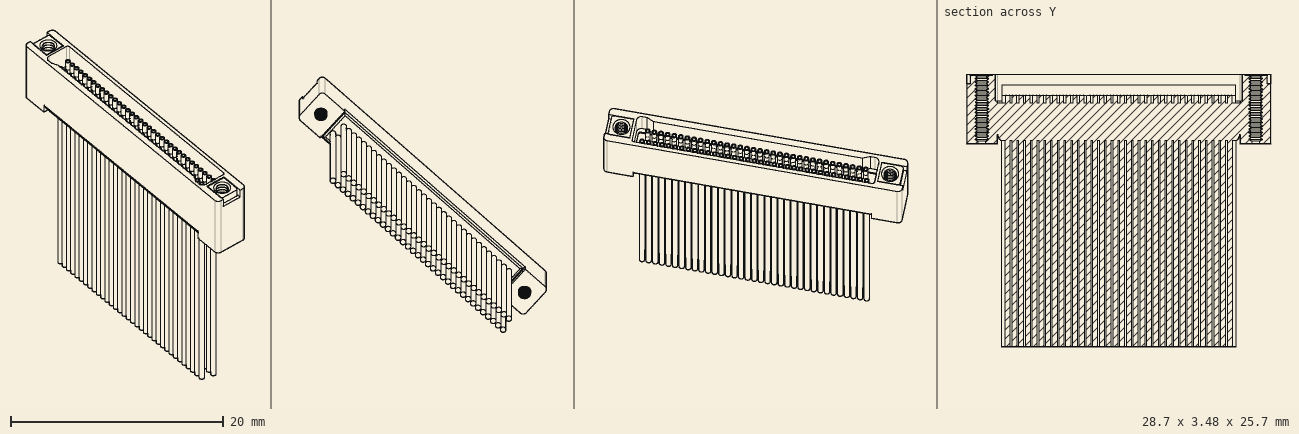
import cadquery as cq
import math


SHELL_LENGTH = 28.68
SHELL_WIDTH = 3.48
SHELL_HEIGHT = 6.57
SHELL_CORNER_RADIUS = 0.4
TOTAL_HEIGHT = 25.7

CUTOUT_LENGTH = 22.9
CUTOUT_TOP = -5.69
POTTING_BREAK = -6.1
POTTING_BOTTOM = -6.26
POTTING_SIDE_TAPER = 22
POTTING_EDGE_TAPER = 50

POCKET_HALF_LENGTH = 11.64
POCKET_BACK = 1.36
POCKET_FRONT = -1.09
POCKET_DEPTH = 2.5
POCKET_CORNER_RADIUS = 0.2
LOBE_FRONT = -1.40
LOBE_CORNER_RADIUS = 0.45
LOBE_FLAT_LENGTH = 0.45
LOBE_RUNOUT_LENGTH = 0.7
ARC_MIDDLE = 1 - math.sqrt(0.5)

FLOOR_RECESS_LENGTH = CUTOUT_LENGTH
FLOOR_RECESS_BACK = 1.17
FLOOR_RECESS_FRONT = -1.01
FLOOR_RECESS_DEPTH = 0.2
FLOOR_RECESS_CORNER_RADIUS = 0.2

CONTACT_PITCH = 0.635
CONTACT_ROWS = ((35, 0.66), (34, -0.50))
CONTACT_DIAMETER = 0.46
CONTACT_BORE_DIAMETER = 0.28
CONTACT_BORE_DEPTH = 1.0
CONTACT_TOP = -1.0
WIRE_DIAMETER = 0.53

NUT_X = 12.91
NUT_WIDTH = 2.03
NUT_INNER_X = 11.92
NUT_OUTER_X = 14.02
NUT_TOP = -0.1
NUT_CORNER_RADIUS = 0.2
NUT_RECESS_DEPTH = 0.88
THREAD_MINOR_DIAMETER = 1.18
THREAD_MAJOR_DIAMETER = 1.6
THREAD_PITCH = 25.4 / 80


def make_box(x_min, x_max, y_min, y_max, z_min, z_max):
    size = (x_max - x_min, y_max - y_min, z_max - z_min)
    return cq.Workplane("XY").box(*size, centered=False).translate((x_min, y_min, z_min))


def make_shell():
    shell = make_box(
        -SHELL_LENGTH / 2, SHELL_LENGTH / 2, -SHELL_WIDTH / 2, SHELL_WIDTH / 2, -SHELL_HEIGHT, 0
    )
    shell = shell.edges("|Z").fillet(SHELL_CORNER_RADIUS)
    cutout = make_box(
        -CUTOUT_LENGTH / 2, CUTOUT_LENGTH / 2, -SHELL_WIDTH / 2, SHELL_WIDTH / 2, -SHELL_HEIGHT, CUTOUT_TOP
    )
    return shell.cut(cutout)


def make_potting():
    side_height = CUTOUT_TOP - POTTING_BREAK
    inset = side_height * math.tan(math.radians(POTTING_SIDE_TAPER))
    sides = (
        cq.Workplane("XY", origin=(0, 0, CUTOUT_TOP))
        .rect(CUTOUT_LENGTH, SHELL_WIDTH)
        .extrude(-side_height, taper=POTTING_SIDE_TAPER)
    )
    bottom_edge = (
        cq.Workplane("XY", origin=(0, 0, POTTING_BREAK))
        .rect(CUTOUT_LENGTH - 2 * inset, SHELL_WIDTH - 2 * inset)
        .extrude(POTTING_BOTTOM - POTTING_BREAK, taper=POTTING_EDGE_TAPER)
    )
    return sides.union(bottom_edge)


def make_pocket():
    back_start = POCKET_HALF_LENGTH - POCKET_CORNER_RADIUS
    back_mid = POCKET_CORNER_RADIUS * ARC_MIDDLE
    lobe_start = POCKET_HALF_LENGTH - LOBE_CORNER_RADIUS
    lobe_mid = LOBE_CORNER_RADIUS * ARC_MIDDLE
    lobe_end = lobe_start - LOBE_FLAT_LENGTH
    runout_end = lobe_end - LOBE_RUNOUT_LENGTH
    left, right = -POCKET_HALF_LENGTH, POCKET_HALF_LENGTH
    outline = (
        cq.Workplane("XY")
        .moveTo(-back_start, POCKET_BACK)
        .lineTo(back_start, POCKET_BACK)
        .threePointArc((right - back_mid, POCKET_BACK - back_mid), (right, POCKET_BACK - POCKET_CORNER_RADIUS))
        .lineTo(right, LOBE_FRONT + LOBE_CORNER_RADIUS)
        .threePointArc((right - lobe_mid, LOBE_FRONT + lobe_mid), (lobe_start, LOBE_FRONT))
        .lineTo(lobe_end, LOBE_FRONT)
        .lineTo(runout_end, POCKET_FRONT)
        .lineTo(-runout_end, POCKET_FRONT)
        .lineTo(-lobe_end, LOBE_FRONT)
        .lineTo(-lobe_start, LOBE_FRONT)
        .threePointArc((left + lobe_mid, LOBE_FRONT + lobe_mid), (left, LOBE_FRONT + LOBE_CORNER_RADIUS))
        .lineTo(left, POCKET_BACK - POCKET_CORNER_RADIUS)
        .threePointArc((left + back_mid, POCKET_BACK - back_mid), (-back_start, POCKET_BACK))
        .close()
    )
    floor_recess = make_box(
        -FLOOR_RECESS_LENGTH / 2,
        FLOOR_RECESS_LENGTH / 2,
        FLOOR_RECESS_FRONT,
        FLOOR_RECESS_BACK,
        -POCKET_DEPTH - FLOOR_RECESS_DEPTH,
        -POCKET_DEPTH,
    )
    floor_recess = floor_recess.edges("|Z").fillet(FLOOR_RECESS_CORNER_RADIUS)
    return outline.extrude(-POCKET_DEPTH).union(floor_recess)


def cylinders(points, diameter, z_top, z_bottom):
    return (
        cq.Workplane("XY", origin=(0, 0, z_top))
        .pushPoints(points)
        .circle(diameter / 2)
        .extrude(z_bottom - z_top)
    )


def contact_points():
    return [
        ((index - (count - 1) / 2) * CONTACT_PITCH, row_y)
        for count, row_y in CONTACT_ROWS
        for index in range(count)
    ]


def make_nut_recess():
    return make_box(
        NUT_INNER_X, SHELL_LENGTH / 2, -NUT_WIDTH / 2, NUT_WIDTH / 2, -NUT_RECESS_DEPTH, 0
    )


def make_nut():
    nut = make_box(
        NUT_INNER_X, NUT_OUTER_X, -NUT_WIDTH / 2, NUT_WIDTH / 2, -NUT_RECESS_DEPTH, NUT_TOP
    )
    return nut.edges("|Z and >X").fillet(NUT_CORNER_RADIUS)


def make_threaded_hole():
    """Through hole whose wall is a stack of V grooves, the first one opening at the nut top."""
    minor_radius = THREAD_MINOR_DIAMETER / 2
    major_radius = THREAD_MAJOR_DIAMETER / 2
    groove_count = math.floor((SHELL_HEIGHT + NUT_TOP) / THREAD_PITCH)
    profile = cq.Workplane("XZ").moveTo(0, NUT_TOP)
    for groove in range(groove_count):
        root_z = NUT_TOP - groove * THREAD_PITCH
        profile = profile.lineTo(major_radius, root_z).lineTo(minor_radius, root_z - THREAD_PITCH / 2)
    profile = profile.lineTo(minor_radius, -SHELL_HEIGHT).lineTo(0, -SHELL_HEIGHT).close()
    return profile.revolve(360, (0, 0, 0), (0, 1, 0)).translate((NUT_X, 0, 0))


def add_threaded_nuts(shell):
    recess = make_nut_recess()
    nut = make_nut()
    hole = make_threaded_hole()
    for turn in (0, 180):
        shell = shell.cut(recess.rotate((0, 0, 0), (0, 0, 1), turn))
        shell = shell.union(nut.rotate((0, 0, 0), (0, 0, 1), turn))
        shell = shell.cut(hole.rotate((0, 0, 0), (0, 0, 1), turn))
    return shell


def add_contacts(shell):
    points = contact_points()
    bore_bottom = CONTACT_TOP - CONTACT_BORE_DEPTH
    posts = cylinders(points, CONTACT_DIAMETER, CONTACT_TOP, CUTOUT_TOP)
    bores = cylinders(points, CONTACT_BORE_DIAMETER, CONTACT_TOP, bore_bottom)
    wires = cylinders(points, WIRE_DIAMETER, CUTOUT_TOP, -TOTAL_HEIGHT)
    return shell.union(posts.cut(bores)).union(wires)


shell = make_shell().union(make_potting()).cut(make_pocket())
result = add_contacts(add_threaded_nuts(shell))